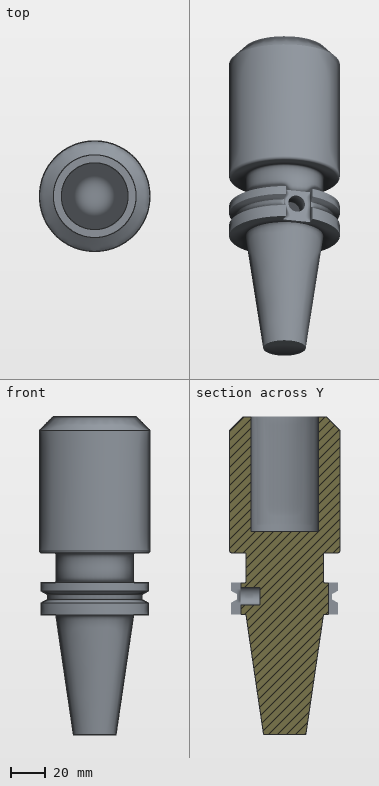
import cadquery as cq

total_length = 182.5
flange_bottom = 68.8
flange_top = 87.3
body_bottom = 104.2

taper_tip_radius = 12.2
neck_radius = 22.3
taper_land_height = 0.5
neck_fillet = 0.7

flange_radius = 31.8
groove_radius = 28.3
lower_rim_height = 6.8
upper_rim_height = 4.7
groove_flank_height = 2.0

body_radius = 31.8
nose_radius = 23.7
nose_height = 8.0
body_edge_fillet = 1.5
bore_radius = 19.2
bore_depth = 65.7

slot_width = 16.0
slot_floor_distance = 25.2
hole_diameter = 9.9
hole_depth = 11.0
hole_height = 79.5


def revolve_profile(points):
    """Revolve a closed outline of (radius, height) points about the Z axis."""
    return cq.Workplane("XZ").polyline(points).close().revolve(360, (0, 0), (0, 1))


def make_shank():
    return revolve_profile([
        (0, 0),
        (taper_tip_radius, 0),
        (neck_radius, flange_bottom - taper_land_height),
        (neck_radius, flange_bottom),
        (0, flange_bottom),
    ])


def make_flange():
    groove_bottom = flange_bottom + lower_rim_height
    groove_top = flange_top - upper_rim_height
    return revolve_profile([
        (0, flange_bottom),
        (flange_radius, flange_bottom),
        (flange_radius, groove_bottom),
        (groove_radius, groove_bottom + groove_flank_height),
        (groove_radius, groove_top - groove_flank_height),
        (flange_radius, groove_top),
        (flange_radius, flange_top),
        (0, flange_top),
    ])


def make_neck():
    neck_length = body_bottom - flange_top
    return cq.Workplane("XY").workplane(offset=flange_top).circle(neck_radius).extrude(neck_length)


def make_body():
    body = revolve_profile([
        (0, body_bottom),
        (body_radius, body_bottom),
        (body_radius, total_length - nose_height),
        (nose_radius, total_length),
        (0, total_length),
    ])
    return body.faces("<Z").edges().fillet(body_edge_fillet)


def cut_drive_slots(part):
    """Cut one flat-floored slot through the flange on each of the -X and +X sides."""
    flange_height = flange_top - flange_bottom
    slot_depth = flange_radius - slot_floor_distance
    slot_center = slot_floor_distance + slot_depth / 2
    slot_middle_height = flange_bottom + flange_height / 2
    for side in (-1, 1):
        slot = cq.Workplane("XY").box(slot_depth, slot_width, flange_height)
        part = part.cut(slot.translate((side * slot_center, 0, slot_middle_height)))
    return part


def make_slot_hole():
    return (
        cq.Workplane("YZ", origin=(-slot_floor_distance, 0, hole_height))
        .circle(hole_diameter / 2)
        .extrude(hole_depth)
    )


def fillet_neck_ends(part):
    """Round the inside corners where the neck meets the flange and the body."""
    for height in (flange_top, body_bottom):
        corner = cq.selectors.RadiusNthSelector(0)
        ring = cq.selectors.BoxSelector(
            (-flange_radius, -flange_radius, height - neck_fillet / 2),
            (flange_radius, flange_radius, height + neck_fillet / 2),
        )
        part = part.edges("%CIRCLE").edges(ring).edges(corner).fillet(neck_fillet)
    return part


result = make_shank().union(make_flange()).union(make_neck()).union(make_body())
result = fillet_neck_ends(result)
result = cut_drive_slots(result)
result = result.cut(make_slot_hole())
result = result.faces(">Z").workplane(origin=(0, 0, total_length)).hole(2 * bore_radius, bore_depth)